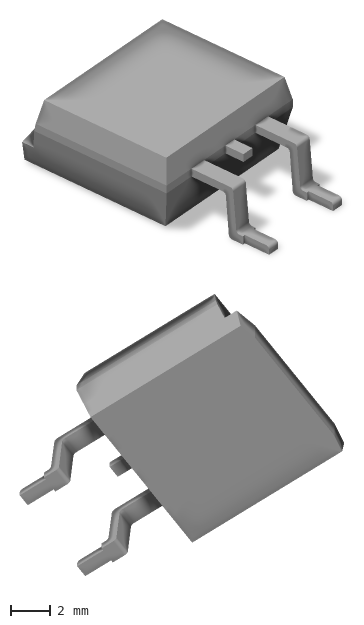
import cadquery as cq

TOTAL_LENGTH = 15
TOTAL_WIDTH = 10.0
TOTAL_HEIGHT = 4.6

BODY_BOTTOM_Z = 0.18
BODY_REAR_X = 10.0
BODY_TOP_X_MIN = 1.66
BODY_TOP_X_MAX = 9.72
BODY_BOTTOM_X_MAX = 9.5
BODY_TOP_WIDTH = 9.38
BODY_BOTTOM_WIDTH = 8.97

BAND_BOTTOM_Z = 2.7
BAND_THICKNESS = 0.48
BAND_TOP_Z = BAND_BOTTOM_Z + BAND_THICKNESS

TAB_THICKNESS = 1.25
TAB_TOP_Z = BODY_BOTTOM_Z + TAB_THICKNESS
TAB_LENGTH = 1.0
TAB_FRONT_WIDTH = 7.0
TAB_SHOULDER_X = 0.25
TAB_SHOULDER_WIDTH = 9.48

LEAD_PITCH = 2.54
LEAD_WIDTH = 1.0
LEAD_TIP_WIDTH = 0.7
LEAD_NARROWING_X = 13.4
LEAD_EMBED = 0.75
LEAD_START_X = BODY_REAR_X - LEAD_EMBED
FOOT_THICKNESS = 0.51
KNEE_OUTER_X = 12.74
KNEE_INNER_X = 12.25
HEEL_X = 12.48
INSTEP_X = 12.98
BEND_RADIUS = 0.2
TIP_RADIUS = 0.2
STUB_LEAD_END_X = 11.2

SELECTION_MARGIN = 0.15


def make_body():
    """Body and tab: a side profile along Y crossed with an end profile along X."""
    side_profile = (
        cq.Workplane("XZ")
        .polyline([
            (0, BODY_BOTTOM_Z),
            (BODY_BOTTOM_X_MAX, BODY_BOTTOM_Z),
            (BODY_REAR_X, BAND_BOTTOM_Z),
            (BODY_REAR_X, BAND_TOP_Z),
            (BODY_TOP_X_MAX, TOTAL_HEIGHT),
            (BODY_TOP_X_MIN, TOTAL_HEIGHT),
            (TAB_LENGTH, TAB_TOP_Z),
            (0, TAB_TOP_Z),
        ])
        .close()
        .extrude(TOTAL_WIDTH / 2, both=True)
    )
    end_profile = (
        cq.Workplane("YZ")
        .moveTo(0, BODY_BOTTOM_Z)
        .lineTo(BODY_BOTTOM_WIDTH / 2, BODY_BOTTOM_Z)
        .lineTo(TOTAL_WIDTH / 2, BAND_BOTTOM_Z)
        .lineTo(TOTAL_WIDTH / 2, BAND_TOP_Z)
        .lineTo(BODY_TOP_WIDTH / 2, TOTAL_HEIGHT)
        .lineTo(0, TOTAL_HEIGHT)
        .mirrorY()
        .extrude(BODY_REAR_X)
    )
    return side_profile.intersect(end_profile)


def make_tab_corner():
    """Wedge that bevels the +Y front corner of the tab."""
    return (
        cq.Workplane("XY")
        .polyline([
            (0, TAB_FRONT_WIDTH / 2),
            (TAB_SHOULDER_X, TAB_SHOULDER_WIDTH / 2),
            (TAB_SHOULDER_X, TOTAL_WIDTH / 2),
            (0, TOTAL_WIDTH / 2),
        ])
        .close()
        .extrude(TAB_TOP_Z)
    )


def make_formed_lead():
    """Gull-wing lead centred on Y = 0, narrowed at its foot."""
    lead = (
        cq.Workplane("XZ")
        .polyline([
            (LEAD_START_X, BAND_BOTTOM_Z),
            (KNEE_INNER_X, BAND_BOTTOM_Z),
            (HEEL_X, 0),
            (TOTAL_LENGTH, 0),
            (TOTAL_LENGTH, FOOT_THICKNESS),
            (INSTEP_X, FOOT_THICKNESS),
            (KNEE_OUTER_X, BAND_TOP_Z),
            (LEAD_START_X, BAND_TOP_Z),
        ])
        .close()
        .extrude(LEAD_WIDTH / 2, both=True)
    )
    bends = cq.selectors.BoxSelector(
        (KNEE_INNER_X - SELECTION_MARGIN, -LEAD_WIDTH, -SELECTION_MARGIN),
        (INSTEP_X + SELECTION_MARGIN, LEAD_WIDTH, BAND_TOP_Z + SELECTION_MARGIN),
    )
    lead = lead.edges("|Y").edges(bends).fillet(BEND_RADIUS)
    lead = lead.edges("|Y and >X").edges(">Z").fillet(TIP_RADIUS)

    tip_length = TOTAL_LENGTH - LEAD_NARROWING_X
    side_trim = (LEAD_WIDTH - LEAD_TIP_WIDTH) / 2
    trim = cq.Workplane("XY").box(
        tip_length, side_trim, FOOT_THICKNESS, centered=(False, True, False)
    )
    for side in (-1, 1):
        trim_y = side * (LEAD_WIDTH - side_trim) / 2
        lead = lead.cut(trim.translate((LEAD_NARROWING_X, trim_y, 0)))
    return lead


def make_stub_lead():
    """Short cropped centre lead."""
    stub = cq.Workplane("XY").box(
        STUB_LEAD_END_X - LEAD_START_X, LEAD_TIP_WIDTH, BAND_THICKNESS, centered=(False, True, False)
    )
    return stub.translate((LEAD_START_X, 0, BAND_BOTTOM_Z))


tab_corner = make_tab_corner()
formed_lead = make_formed_lead()

result = make_body().cut(tab_corner).cut(tab_corner.mirror("XZ"))
result = result.union(make_stub_lead())
for side in (-1, 1):
    result = result.union(formed_lead.translate((0, side * LEAD_PITCH, 0)))